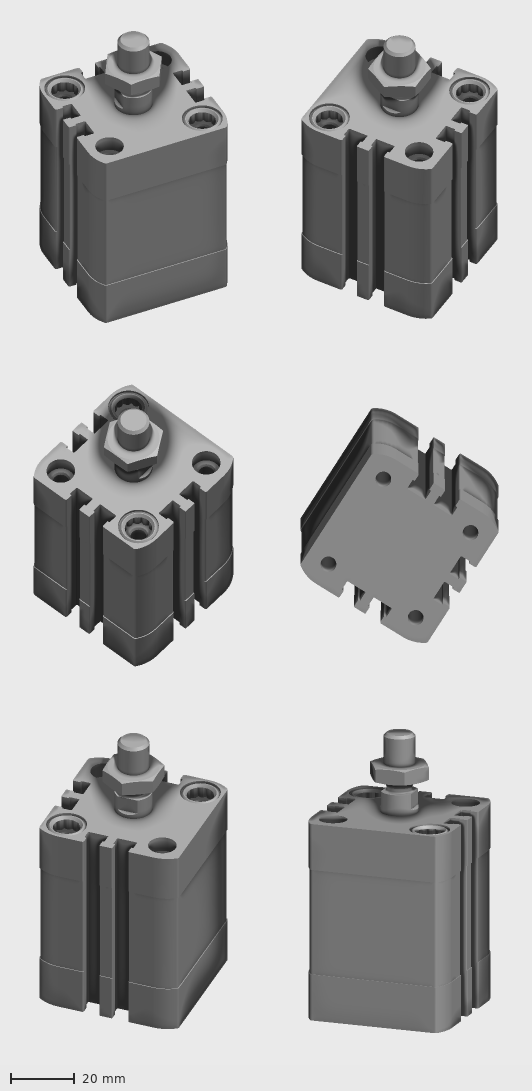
import cadquery as cq
import math

quarter_arc_inset = 1 - math.sqrt(0.5)

overall_height = 89.6
cap_width = 47.0
body_height = 64.0
cap_height = 15.0
barrel_inset = 0.3

corner_center = 16.1
cap_corner_radius = 12.0
corner_blend = 1.0

slot_floor = 17.6
slot_lip_thickness = 2.6
slot_opening = 7.5
slot_undercut = 8.2
slot_corner_radius = 0.4
slot_lip_radius = 0.5
rib_head_half_width = 2.15
rib_stem_half_width = 1.5
rib_edge_radius = 0.3
undercut_top = cap_width / 2 - slot_lip_thickness
slot_clearance = 0.9

hole_offset = corner_center
hole_diameter = 4.9
hole_mouth_diameter = 6.0
hole_mouth_depth = 0.5
counterbore_diameter = 9.0
counterbore_depth = 5.0

rim_diameter = 12.8
collar_diameter = 11.9
collar_face_diameter = 10.75
collar_face_depth = 0.2
groove_depth = 0.9
funnel_diameter = 10.2
funnel_depth = 0.9
socket_depth = 4.75
socket_ridge_diameter = 8.6
socket_tip_diameter = 10.0
socket_teeth = 12
socket_ridge_share = 0.35

thread_diameter = 10.0
tip_chamfer = 0.9
neck_diameter = 8.2
neck_top = 72.3
neck_fillet = 0.5
shoulder_diameter = 12.0
shoulder_top = 70.8
flat_distance = 10.0
flat_floor = 65.9
flat_floor_drop = 0.5

nut_across_flats = 17.0
nut_bottom = 74.6
nut_height = 5.0
nut_face_diameter = 16.3
nut_corner_drop = 0.45


def housing_block(half_width, corner_radius, bottom, height):
    """Square block whose corners are arcs tangent to the front and back."""
    center_y = half_width - corner_radius
    end_angle = math.acos((half_width - corner_center) / corner_radius)
    mid_angle = (end_angle + math.pi / 2) / 2
    arc_end_y = center_y + corner_radius * math.sin(end_angle)
    arc_mid_x = corner_center + corner_radius * math.cos(mid_angle)
    arc_mid_y = center_y + corner_radius * math.sin(mid_angle)
    block = (
        cq.Workplane("XY")
        .workplane(offset=bottom)
        .moveTo(-corner_center, half_width)
        .lineTo(corner_center, half_width)
        .threePointArc((arc_mid_x, arc_mid_y), (half_width, arc_end_y))
        .lineTo(half_width, -arc_end_y)
        .threePointArc((arc_mid_x, -arc_mid_y), (corner_center, -half_width))
        .lineTo(-corner_center, -half_width)
        .threePointArc((-arc_mid_x, -arc_mid_y), (-half_width, -arc_end_y))
        .lineTo(-half_width, arc_end_y)
        .threePointArc((-arc_mid_x, arc_mid_y), (-corner_center, half_width))
        .close()
        .extrude(height)
    )
    return block.edges("|Z and (>X or <X)").fillet(corner_blend)


def slot_half(half_width, bottom, height):
    """One of the two mirrored T-slot halves cut into the +Y side."""
    outside = half_width + slot_clearance
    lip_start = half_width - slot_lip_radius
    lip_mid = slot_lip_radius * quarter_arc_inset
    edge = rib_edge_radius
    edge_mid = edge * quarter_arc_inset
    corner = slot_corner_radius
    corner_mid = corner * quarter_arc_inset
    return (
        cq.Workplane("XY")
        .workplane(offset=bottom)
        .moveTo(rib_head_half_width - edge, outside)
        .lineTo(rib_head_half_width - edge, half_width)
        .threePointArc(
            (rib_head_half_width - edge_mid, half_width - edge_mid), (rib_head_half_width, half_width - edge)
        )
        .lineTo(rib_head_half_width, undercut_top)
        .lineTo(rib_stem_half_width, undercut_top)
        .lineTo(rib_stem_half_width, slot_floor)
        .lineTo(slot_undercut - corner, slot_floor)
        .threePointArc(
            (slot_undercut - corner_mid, slot_floor + corner_mid), (slot_undercut, slot_floor + corner)
        )
        .lineTo(slot_undercut, undercut_top - corner)
        .threePointArc(
            (slot_undercut - corner_mid, undercut_top - corner_mid), (slot_undercut - corner, undercut_top)
        )
        .lineTo(slot_opening, undercut_top)
        .lineTo(slot_opening, lip_start)
        .threePointArc(
            (slot_opening + lip_mid, half_width - lip_mid), (slot_opening + slot_lip_radius, half_width)
        )
        .lineTo(slot_opening + slot_lip_radius, outside)
        .close()
        .extrude(height)
    )


def housing_section(half_width, corner_radius, bottom, height):
    """A length of housing with a pair of slot halves in three of its sides."""
    section = housing_block(half_width, corner_radius, bottom, height)
    half_slot = slot_half(half_width, bottom, height)
    slot_pair = half_slot.union(half_slot.mirror("YZ"))
    for side_angle in (0, 90, 180):
        section = section.cut(slot_pair.rotate((0, 0, 0), (0, 0, 1), side_angle))
    return section


def cone(bottom_diameter, top_diameter, bottom, top):
    """Frustum on the Z axis."""
    return cq.Workplane(
        cq.Solid.makeCone(bottom_diameter / 2, top_diameter / 2, top - bottom, cq.Vector(0, 0, bottom))
    )


def cylinder(diameter, bottom, top):
    """Upright cylinder on the Z axis."""
    return cq.Workplane("XY").workplane(offset=bottom).circle(diameter / 2).extrude(top - bottom)


def through_hole(floor):
    """Through hole, widened conically where it meets the recess floor."""
    mouth = cone(hole_diameter, hole_mouth_diameter, floor - hole_mouth_depth, floor)
    return cylinder(hole_diameter, 0, floor).union(mouth)


def counterbored_hole():
    floor = body_height - counterbore_depth
    return through_hole(floor).union(cylinder(counterbore_diameter, floor, body_height))


def polar_point(radius, angle):
    return radius * math.cos(angle), radius * math.sin(angle)


def toothed_hole():
    """Recess around a chamfered collar, with a toothed socket inside the collar."""
    floor = body_height - socket_depth
    collar_face = body_height - collar_face_depth
    groove_floor = body_height - groove_depth
    funnel_bottom = collar_face - funnel_depth
    chamfer_height = (collar_diameter - collar_face_diameter) / 2
    chamfer_bottom = collar_face - chamfer_height
    collar = cylinder(collar_diameter, groove_floor, chamfer_bottom).union(
        cone(collar_diameter, collar_face_diameter, chamfer_bottom, collar_face)
    )
    rim = cylinder(rim_diameter, groove_floor, body_height).cut(collar)
    funnel = cone(socket_ridge_diameter, funnel_diameter, funnel_bottom, collar_face)
    pitch_angle = 2 * math.pi / socket_teeth
    ridge_half_angle = pitch_angle * socket_ridge_share / 2
    star_points = []
    for index in range(socket_teeth):
        notch_angle = index * pitch_angle
        ridge_angle = notch_angle + pitch_angle / 2
        star_points.append(polar_point(socket_tip_diameter / 2, notch_angle))
        star_points.append(polar_point(socket_ridge_diameter / 2, ridge_angle - ridge_half_angle))
        star_points.append(polar_point(socket_ridge_diameter / 2, ridge_angle + ridge_half_angle))
    star = cq.Workplane("XY").workplane(offset=floor).polyline(star_points).close()
    teeth = star.extrude(collar_face - floor)
    envelope = cylinder(socket_tip_diameter, floor, funnel_bottom).union(funnel)
    return through_hole(floor).union(teeth.intersect(envelope)).union(funnel).union(rim)


def make_housing():
    half_width = cap_width / 2
    top_cap_bottom = body_height - cap_height
    barrel_half_width = half_width - barrel_inset
    barrel_corner_radius = cap_corner_radius - barrel_inset
    barrel_height = top_cap_bottom - cap_height
    bottom_cap = housing_section(half_width, cap_corner_radius, 0, cap_height)
    barrel = housing_section(barrel_half_width, barrel_corner_radius, cap_height, barrel_height)
    top_cap = housing_section(half_width, cap_corner_radius, top_cap_bottom, cap_height)
    body = bottom_cap.union(barrel).union(top_cap)
    for side in (-1, 1):
        body = body.cut(counterbored_hole().translate((side * hole_offset, -side * hole_offset, 0)))
        body = body.cut(toothed_hole().translate((side * hole_offset, side * hole_offset, 0)))
    return body


def make_rod():
    """Turned rod standing on the housing, with two wrench flats on its shoulder."""
    thread_radius = thread_diameter / 2
    neck_radius = neck_diameter / 2
    shoulder_radius = shoulder_diameter / 2
    fillet_mid = neck_fillet * quarter_arc_inset
    rod = (
        cq.Workplane("XZ")
        .moveTo(0, body_height)
        .lineTo(shoulder_radius, body_height)
        .lineTo(shoulder_radius, shoulder_top)
        .lineTo(neck_radius + neck_fillet, shoulder_top)
        .threePointArc(
            (neck_radius + fillet_mid, shoulder_top + fillet_mid), (neck_radius, shoulder_top + neck_fillet)
        )
        .lineTo(neck_radius, neck_top)
        .lineTo(thread_radius, nut_bottom)
        .lineTo(thread_radius, overall_height - tip_chamfer)
        .lineTo(thread_radius - tip_chamfer, overall_height)
        .lineTo(0, overall_height)
        .close()
        .revolve(360, (0, 0, 0), (0, 1, 0))
    )
    flat_cut = (
        cq.Workplane("YZ")
        .moveTo(flat_distance / 2, shoulder_top)
        .lineTo(flat_distance / 2, flat_floor)
        .lineTo(shoulder_radius, flat_floor - flat_floor_drop)
        .lineTo(shoulder_radius, shoulder_top)
        .close()
        .extrude(shoulder_radius, both=True)
    )
    return rod.cut(flat_cut).cut(flat_cut.mirror("XZ"))


def make_nut():
    """Hex nut with corners along Y, chamfered conically at both ends."""
    corner_diameter = nut_across_flats / math.cos(math.pi / 6)
    nut_top = nut_bottom + nut_height
    lower_corner = nut_bottom + nut_corner_drop
    upper_corner = nut_top - nut_corner_drop
    envelope = (
        cone(nut_face_diameter, corner_diameter, nut_bottom, lower_corner)
        .union(cylinder(corner_diameter, lower_corner, upper_corner))
        .union(cone(corner_diameter, nut_face_diameter, upper_corner, nut_top))
    )
    hexagon = (
        cq.Workplane("XY")
        .workplane(offset=nut_bottom)
        .polygon(6, corner_diameter)
        .extrude(nut_height)
        .rotate((0, 0, 0), (0, 0, 1), 90)
    )
    return hexagon.intersect(envelope).cut(cylinder(thread_diameter, nut_bottom, nut_top))


housing = make_housing()
rod = make_rod()
nut = make_nut()

result = cq.Compound.makeCompound([housing.val(), rod.val(), nut.val()])